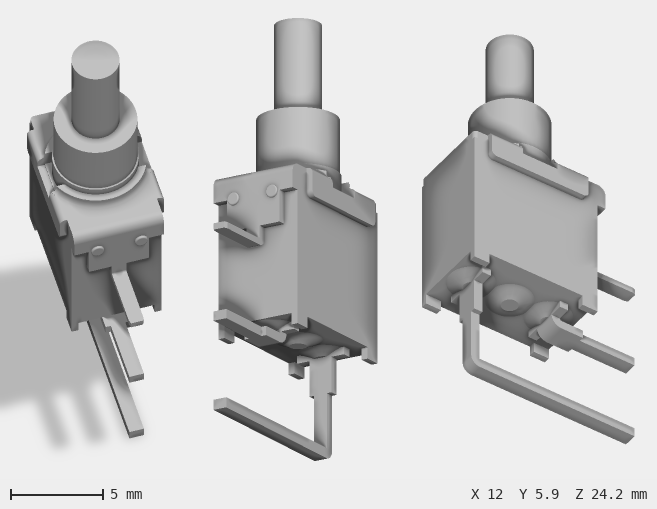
import cadquery as cq
import math


CASE_LENGTH = 8.07
CASE_WIDTH = 5.08
CASE_TOP = 9.11
CASE_FLOOR = 0.65
FOOT_LENGTH = 1.0
FOOT_WIDTH = 0.39
CORNER_RADIUS = 0.25

OVERALL_WIDTH = 5.9
SHEET = 0.5
TAB_LENGTH = 6.33
TAB_BOTTOM = 7.5
BEND_RADIUS = 0.31
FLAP_BOTTOM = 7.64
STRIP_WIDTH = 3.38
STRIP_BOTTOM = 5.82
RIVET_RADIUS = 0.36
RIVET_HEIGHT = 0.15
RIVET_ROUNDING = 0.07
RIVET_SPACING = 2.47
NOTCH_WIDTH = 2.27
NOTCH_FLOOR = 8.53

COLLAR_RADIUS = 2.78
COLLAR_TOP = 9.55
COLLAR_FILLET = 0.27
FLANGE_RADIUS = 2.37
FLANGE_TOP = 9.98
BUSHING_RADIUS = 2.27
BUSHING_TOP = 13.22
PLUNGER_RADIUS = 1.3
PLUNGER_BASE = CASE_TOP
PLUNGER_TOP = 18.64

LEAD_THICKNESS = 0.53
LEAD_WIDTH = 0.82
LEAD_SHANK_WIDTH = 1.4
LEAD_SHOULDER_WIDTH = 3.02
LEAD_SHOULDER_BOTTOM = 0.22
LEAD_OFFSET = 2.54
LEAD_END = 7.9
OVERALL_HEIGHT = 24.17
LONG_LEAD_BOTTOM = PLUNGER_TOP - OVERALL_HEIGHT
LONG_LEAD_THICKNESS = 0.58
LONG_LEAD_STEP = -1.81
LONG_LEAD_BEND = 0.58
SHORT_LEAD_BOTTOM = -0.44
SHORT_LEAD_STEP = 4.33
SHORT_LEAD_BEND = 0.15
SUPPORT_END = 8.0
SUPPORT_TOP = 5.1
SUPPORT_THICKNESS = 0.36
SUPPORT_BEND = 0.12
SUPPORT_TIP_LENGTH = 0.22
SUPPORT_TIP_INSET = 0.07

MOUND_BASE_RADIUS = 1.35
MOUND_TIP_RADIUS = 0.48
MOUND_HEIGHT = 0.36
MOUND_MID_RADIUS = 0.92
MOUND_MID_HEIGHT = 0.15

CASE_END = CASE_LENGTH / 2
CASE_SIDE = CASE_WIDTH / 2
FLAP_FACE = CASE_END + SHEET
EMBED = 0.25


def block(x_range, y_range, z_range):
    """Box between the given low and high limits."""
    size = [high - low for low, high in (x_range, y_range, z_range)]
    return cq.Workplane("XY").box(*size, centered=False).translate((x_range[0], y_range[0], z_range[0]))


def centred_block(x_range, width, z_range):
    """Box that is symmetric about the XZ plane."""
    return block(x_range, (-width / 2, width / 2), z_range)


def make_case():
    case = centred_block((-CASE_END, CASE_END), CASE_WIDTH, (CASE_FLOOR, CASE_TOP))
    top_layer = centred_block((-CASE_END, CASE_END), CASE_WIDTH, (CASE_TOP - SHEET, CASE_TOP))
    case = case.cut(top_layer).union(top_layer.edges("|Z and <X").fillet(CORNER_RADIUS))
    for x_sign in (-1, 1):
        for y_sign in (-1, 1):
            foot = cq.Workplane("XY").box(FOOT_LENGTH, FOOT_WIDTH, CASE_FLOOR + EMBED, (True, True, False))
            x = x_sign * (CASE_END - FOOT_LENGTH / 2)
            y = y_sign * (CASE_SIDE - FOOT_WIDTH / 2)
            case = case.union(foot.translate((x, y, 0)))
    return case


def make_side_tabs():
    tabs = centred_block((-TAB_LENGTH / 2, TAB_LENGTH / 2), OVERALL_WIDTH, (TAB_BOTTOM, CASE_TOP))
    tabs = tabs.edges("|X and >Z").fillet(BEND_RADIUS)
    return tabs.edges("|Y and <Z").fillet(BEND_RADIUS)


def make_rear_flap():
    flap = centred_block((CASE_END - EMBED, FLAP_FACE), CASE_WIDTH, (FLAP_BOTTOM, CASE_TOP))
    flap = flap.edges("|Y and >X and >Z").fillet(SHEET)
    strip = centred_block((CASE_END - EMBED, FLAP_FACE), STRIP_WIDTH, (STRIP_BOTTOM, FLAP_BOTTOM))
    flap = flap.union(strip)
    for side in (-1, 1):
        rivet = cq.Workplane("YZ").circle(RIVET_RADIUS).extrude(EMBED + RIVET_HEIGHT)
        rivet = rivet.faces(">X").edges().fillet(RIVET_ROUNDING)
        flap = flap.union(rivet.translate((FLAP_FACE - EMBED, side * RIVET_SPACING / 2, FLAP_BOTTOM)))
    return flap


def make_collar():
    """Raised ring whose foot sweeps out into the top of the bracket."""
    foot_radius = COLLAR_RADIUS + COLLAR_FILLET
    fillet_top = CASE_TOP + COLLAR_FILLET
    mid_step = COLLAR_FILLET * (1 - math.sqrt(0.5))
    return (
        cq.Workplane("XZ")
        .moveTo(0, CASE_TOP - BEND_RADIUS)
        .lineTo(foot_radius, CASE_TOP - BEND_RADIUS)
        .lineTo(foot_radius, CASE_TOP)
        .threePointArc((COLLAR_RADIUS + mid_step, CASE_TOP + mid_step), (COLLAR_RADIUS, fillet_top))
        .lineTo(COLLAR_RADIUS, COLLAR_TOP)
        .lineTo(0, COLLAR_TOP)
        .close()
        .revolve(360, (0, 0, 0), (0, 1, 0))
    )


def cylinder(radius, bottom, top):
    return cq.Workplane("XY").workplane(offset=bottom).circle(radius).extrude(top - bottom)


def make_notch():
    """Gap through the collar and the tabs, stepping down outside the case."""
    half = NOTCH_WIDTH / 2
    reach = COLLAR_RADIUS + COLLAR_FILLET + EMBED
    notch = centred_block((-half, half), 2 * reach, (CASE_TOP - SHEET, COLLAR_TOP))
    for y_range in ((-reach, -CASE_SIDE), (CASE_SIDE, reach)):
        notch = notch.union(block((-half, half), y_range, (NOTCH_FLOOR, CASE_TOP)))
    return notch


def make_long_lead():
    left = -LEAD_OFFSET - LEAD_THICKNESS / 2
    right = left + LEAD_THICKNESS
    root = CASE_FLOOR + EMBED
    run_top = LONG_LEAD_BOTTOM + LONG_LEAD_THICKNESS
    lead = centred_block((left, right), LEAD_SHOULDER_WIDTH, (LEAD_SHOULDER_BOTTOM, root))
    lead = lead.union(centred_block((left, right), LEAD_SHANK_WIDTH, (LONG_LEAD_STEP, root)))
    upright = centred_block((left, right), LEAD_WIDTH, (LONG_LEAD_BOTTOM, LONG_LEAD_STEP))
    run = centred_block((left, LEAD_END), LEAD_WIDTH, (LONG_LEAD_BOTTOM, run_top))
    ell = upright.union(run).edges("|Y and <X and <Z").fillet(LONG_LEAD_BEND)
    return lead.union(ell)


def make_short_lead():
    left = LEAD_OFFSET - LEAD_THICKNESS / 2
    right = left + LEAD_THICKNESS
    root = CASE_FLOOR + EMBED
    run_top = SHORT_LEAD_BOTTOM + LEAD_THICKNESS
    shoulder = centred_block((left, right), LEAD_SHOULDER_WIDTH, (LEAD_SHOULDER_BOTTOM, root))
    upright = centred_block((left, right), LEAD_SHANK_WIDTH, (SHORT_LEAD_BOTTOM, root))
    shank = centred_block((left, SHORT_LEAD_STEP), LEAD_SHANK_WIDTH, (SHORT_LEAD_BOTTOM, run_top))
    ell = upright.union(shank)
    inner_corner = cq.selectors.NearestToPointSelector((right, 0, run_top))
    ell = ell.edges(inner_corner).fillet(SHORT_LEAD_BEND)
    ell = ell.edges("|Y and <X and <Z").fillet(SHORT_LEAD_BEND + LEAD_THICKNESS)
    blade = centred_block((SHORT_LEAD_STEP, LEAD_END), LEAD_WIDTH, (SHORT_LEAD_BOTTOM, run_top))
    return shoulder.union(ell).union(blade)


def make_support_lead():
    """Mounting lead that leaves the foot of the rear flap and turns outwards."""
    bottom = SUPPORT_TOP - SUPPORT_THICKNESS
    upright = centred_block((CASE_END, FLAP_FACE), LEAD_WIDTH, (bottom, STRIP_BOTTOM))
    half = LEAD_WIDTH / 2
    tip_half = half - SUPPORT_TIP_INSET
    blade_end = SUPPORT_END - SUPPORT_TIP_LENGTH
    blade_outline = [
        (CASE_END, -half), (blade_end, -half), (SUPPORT_END, -tip_half),
        (SUPPORT_END, tip_half), (blade_end, half), (CASE_END, half),
    ]
    blade = cq.Workplane("XY").workplane(offset=bottom).polyline(blade_outline).close()
    blade = blade.extrude(SUPPORT_THICKNESS)
    ell = upright.union(blade)
    inner_corner = cq.selectors.NearestToPointSelector((FLAP_FACE, 0, SUPPORT_TOP))
    ell = ell.edges(inner_corner).fillet(SUPPORT_BEND)
    return ell.edges("|Y and <X and <Z").fillet(SUPPORT_BEND + SUPPORT_THICKNESS)


def make_mound():
    """Mound of sealant with a hollow flank, hanging under the case."""
    tip = CASE_FLOOR - MOUND_HEIGHT
    return (
        cq.Workplane("XZ")
        .moveTo(0, CASE_FLOOR + EMBED)
        .lineTo(MOUND_BASE_RADIUS, CASE_FLOOR + EMBED)
        .lineTo(MOUND_BASE_RADIUS, CASE_FLOOR)
        .threePointArc((MOUND_MID_RADIUS, CASE_FLOOR - MOUND_MID_HEIGHT), (MOUND_TIP_RADIUS, tip))
        .lineTo(0, tip)
        .close()
        .revolve(360, (0, 0, 0), (0, 1, 0))
    )


def make_switch_body():
    body = make_case().union(make_side_tabs()).union(make_rear_flap()).union(make_collar())
    body = body.cut(make_notch())
    body = body.union(cylinder(FLANGE_RADIUS, CASE_TOP - SHEET - EMBED, FLANGE_TOP))
    body = body.union(cylinder(BUSHING_RADIUS, FLANGE_TOP, BUSHING_TOP))
    for lead in (make_long_lead(), make_short_lead(), make_support_lead()):
        body = body.union(lead)
    for x in (-LEAD_OFFSET, 0, LEAD_OFFSET):
        body = body.union(make_mound().translate((x, 0, 0)))
    return body.cut(make_plunger())


def make_plunger():
    return cylinder(PLUNGER_RADIUS, PLUNGER_BASE, PLUNGER_TOP)


switch_body = make_switch_body()
plunger = make_plunger()

result = cq.Compound.makeCompound([switch_body.val(), plunger.val()])